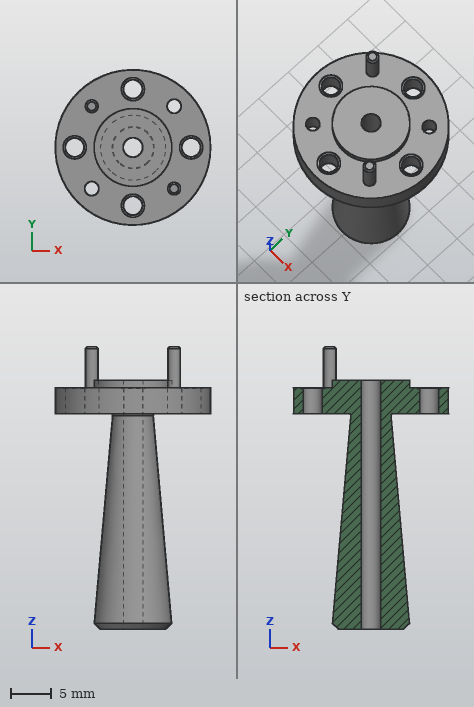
import cadquery as cq
import math

total_height = 34.62
chamfer_height = 0.73
flange_bottom = 26.38
flange_top = 29.6
boss_top = 30.5

tip_diameter = 7.95
stem_wide_diameter = 9.5
stem_narrow_diameter = 5.0
flange_diameter = 19.05
boss_diameter = 9.52
bore_diameter = 2.35

flare_height = 0.2
flare_diameter = 5.15

hole_circle_radius = 7.13
screw_hole_diameter = 2.3
recess_diameter = 2.85
recess_depth = 0.1

pin_diameter = 1.55
pin_chamfer = 0.25
pin_hole_diameter = 1.7


def polar_points(radius, angles):
    """Points on a circle about Z at the given angles in degrees."""
    return [
        (radius * math.cos(math.radians(a)), radius * math.sin(math.radians(a)))
        for a in angles
    ]


def make_body():
    """Revolve the stem, flange and boss as one profile about Z."""
    return (
        cq.Workplane("XZ")
        .moveTo(0, 0)
        .lineTo(tip_diameter / 2, 0)
        .lineTo(stem_wide_diameter / 2, chamfer_height)
        .lineTo(stem_narrow_diameter / 2, flange_bottom - flare_height)
        .lineTo(flare_diameter / 2, flange_bottom)
        .lineTo(flange_diameter / 2, flange_bottom)
        .lineTo(flange_diameter / 2, flange_top)
        .lineTo(boss_diameter / 2, flange_top)
        .lineTo(boss_diameter / 2, boss_top)
        .lineTo(0, boss_top)
        .close()
        .revolve(360, (0, 0, 0), (0, 1, 0))
    )


def flange_holes(points, diameter):
    """Cutters that run through the flange thickness."""
    return (
        cq.Workplane("XY", origin=(0, 0, flange_bottom))
        .pushPoints(points)
        .circle(diameter / 2)
        .extrude(flange_top - flange_bottom)
    )


def make_screw_holes():
    """Through holes with a shallow flat recess in the upper flange face."""
    points = polar_points(hole_circle_radius, (0, 90, 180, 270))
    recesses = (
        cq.Workplane("XY", origin=(0, 0, flange_top - recess_depth))
        .pushPoints(points)
        .circle(recess_diameter / 2)
        .extrude(recess_depth)
    )
    return flange_holes(points, screw_hole_diameter).union(recesses)


def make_pins():
    """Pins rooted in the flange, with chamfered free ends."""
    return (
        cq.Workplane("XY", origin=(0, 0, flange_bottom))
        .pushPoints(polar_points(hole_circle_radius, (135, 315)))
        .circle(pin_diameter / 2)
        .extrude(total_height - flange_bottom)
        .faces(">Z")
        .chamfer(pin_chamfer)
    )


bore = cq.Workplane("XY").circle(bore_diameter / 2).extrude(boss_top)
pin_holes = flange_holes(polar_points(hole_circle_radius, (45, 225)), pin_hole_diameter)

result = make_body().cut(bore).cut(make_screw_holes()).cut(pin_holes).union(make_pins())